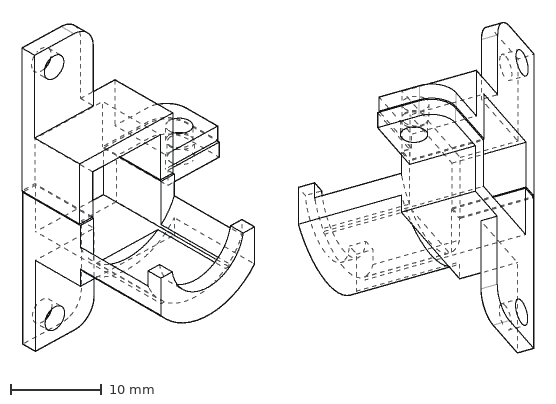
import cadquery as cq

body_length = 9.1
flange_thickness = 2.0
flange_width = 9.02
wall = 2.0
bore_width = 10.4
upper_block_height = 8.0
lower_block_height = 8.08
lug_tip = 22.35
hole_diameter = 3.0
hole_inset = 3.0
corner_radius = 3.0

lower_flange_height = 12.1
lower_top = lower_flange_height + lower_block_height
lower_lug_thickness = 2.0
lower_lug_length = 8.08
lower_block_width = bore_width + 2 * wall
lower_channel_depth = 6.2
lower_floor = lower_top - lower_channel_depth

gap = 0.25
upper_shift = -0.1
total_height = 39.4
upper_bottom = lower_top + gap
upper_lug_thickness = 1.9
upper_lug_length = 7.95
upper_side_wall = 1.9
upper_block_width = wall + bore_width + upper_side_wall
upper_channel_depth = upper_block_height - wall

total_length = 21.75
end_wall_thickness = 2.0
end_wall_start = total_length - end_wall_thickness
end_wall_top = lower_top - 0.85
cradle_outer_radius = 9.25
cradle_inner_radius = 7.75
end_bore_radius = 5.5
axis_y = lower_block_width / 2


def box(x_range, y_range, z_range):
    """Box between the given limits."""
    (x0, x1), (y0, y1), (z0, z1) = x_range, y_range, z_range
    return cq.Workplane("XY").box(x1 - x0, y1 - y0, z1 - z0, centered=False).translate((x0, y0, z0))


def cradle_cylinder(radius, start, end):
    """Cylinder along X on the cradle axis."""
    return cq.Workplane("YZ", origin=(start, axis_y, lower_top)).circle(radius).extrude(end - start)


def flange(side, z_joint, z_end):
    """Upright plate with one hole and one rounded corner at its free end."""
    bottom, top = sorted((z_joint, z_end))
    plate = box((0, flange_thickness), (side, side + flange_width), (bottom, top))
    free_end = ">Z" if z_end > z_joint else "<Z"
    plate = plate.edges("|X").edges(free_end).edges(">Y").fillet(corner_radius)
    hole_z = z_end - hole_inset if z_end > z_joint else z_end + hole_inset
    hole = (
        cq.Workplane("YZ", origin=(0, side + hole_inset, hole_z))
        .circle(hole_diameter / 2)
        .extrude(flange_thickness)
    )
    return plate.cut(hole)


def lug(length, y_joint, y_tip, bottom, thickness):
    """Horizontal clamping ear with one hole and one rounded corner."""
    ear = box((0, length), (y_joint, y_tip), (bottom, bottom + thickness))
    ear = ear.edges("|Z").edges(">Y").edges("<X").fillet(corner_radius)
    hole = (
        cq.Workplane("XY", origin=(length - hole_inset, y_tip - hole_inset, bottom))
        .circle(hole_diameter / 2)
        .extrude(thickness)
    )
    return ear.cut(hole)


def make_cradle():
    """Trough with an end wall, cut by the round bores and the channel."""
    sides = (0, lower_block_width)
    channel_sides = (axis_y - bore_width / 2, axis_y + bore_width / 2)
    trough = box((body_length, total_length), sides, (0, end_wall_top))
    trough = trough.intersect(cradle_cylinder(cradle_outer_radius, body_length, total_length))
    trough = trough.cut(cradle_cylinder(cradle_inner_radius, body_length, end_wall_start))
    trough = trough.cut(box((body_length, end_wall_start), channel_sides, (lower_floor, lower_top)))
    return trough.cut(cradle_cylinder(end_bore_radius, end_wall_start, total_length))


def make_lower_half():
    """Clamp half with the downward flange and the cradle."""
    block = box((0, body_length), (0, lower_block_width), (lower_flange_height, lower_top))
    block = block.union(flange(0, lower_flange_height, 0))
    lug_bottom = lower_top - lower_lug_thickness
    block = block.union(
        lug(lower_lug_length, lower_block_width, lug_tip, lug_bottom, lower_lug_thickness)
    )
    channel = box((0, body_length), (wall, wall + bore_width), (lower_floor, lower_top))
    return block.cut(channel).union(make_cradle())


def make_upper_half():
    """Clamp half with the upward flange."""
    block_top = upper_bottom + upper_block_height
    block_end = upper_shift + upper_block_width
    block = box((0, body_length), (upper_shift, block_end), (upper_bottom, block_top))
    block = block.union(flange(upper_shift, block_top, total_height))
    block = block.union(
        lug(upper_lug_length, block_end, lug_tip + upper_shift, upper_bottom, upper_lug_thickness)
    )
    channel_start = upper_shift + wall
    channel = box(
        (0, body_length),
        (channel_start, channel_start + bore_width),
        (upper_bottom, upper_bottom + upper_channel_depth),
    )
    return block.cut(channel)


lower_half = make_lower_half()
upper_half = make_upper_half()

result = cq.Compound.makeCompound([lower_half.val(), upper_half.val()])